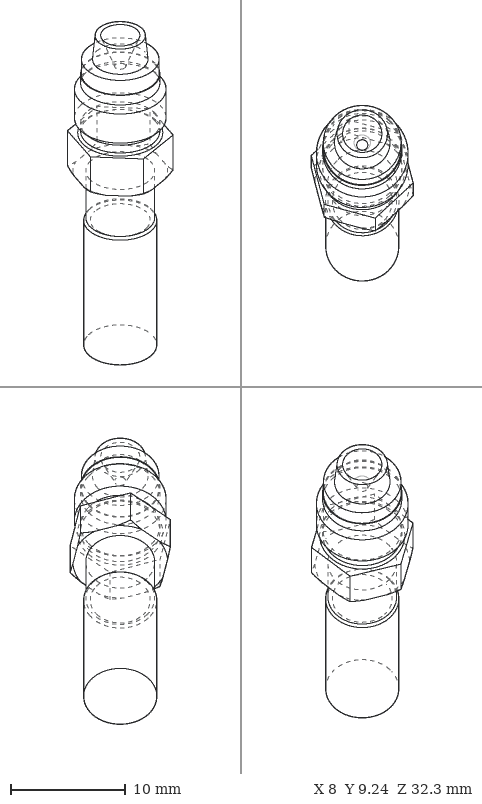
import cadquery as cq
import math

sleeve_top = 13.02
shank_chamfer_top = 13.28
hex_bottom = 18.2
hex_top = 22.13
flare_top = 22.3
barrel_chamfer_bottom = 23.1
barrel_bottom = 23.68
barrel_top = 26.7
barrel_chamfer_top = 27.3
collar_step = 28.3
collar_top = 29.8
total_height = 32.3

sleeve_radius = 3.2
neck_radius = 2.62
shank_radius = 3.0
flare_radius = 3.7
groove_radius = 3.45
barrel_radius = 4.0
collar_radius = 3.4
nose_base_radius = 2.42
nose_tip_radius = 2.2

across_flats = 8.0
across_corners = across_flats / math.cos(math.radians(30))
hex_chamfer_radius = 4.15
hex_chamfer_angle = 30.0

socket_mouth_radius = 1.7
socket_throat_radius = 0.7
socket_depth = 2.6
pin_hole_end_radius = 0.5
pin_hole_depth = 0.65

def turned_body():
    """Revolve the stepped outer profile about Z."""
    profile = [
        (0, 0),
        (sleeve_radius, 0),
        (sleeve_radius, sleeve_top),
        (neck_radius, sleeve_top),
        (shank_radius, shank_chamfer_top),
        (shank_radius, hex_top),
        (flare_radius, hex_top),
        (groove_radius, flare_top),
        (groove_radius, barrel_chamfer_bottom),
        (barrel_radius, barrel_bottom),
        (barrel_radius, barrel_top),
        (groove_radius, barrel_chamfer_top),
        (groove_radius, collar_step),
        (collar_radius, collar_step),
        (collar_radius, collar_top),
        (nose_base_radius, collar_top),
        (nose_tip_radius, total_height),
        (0, total_height),
    ]
    return cq.Workplane("XZ").polyline(profile).close().revolve(360, (0, 0), (0, 1))

def hex_nut():
    """Hexagon whose lower corners are trimmed by a cone just outside the flats."""
    hexagon = (
        cq.Workplane("XY")
        .workplane(offset=hex_bottom)
        .polygon(6, across_corners)
        .extrude(hex_top - hex_bottom)
        .rotate((0, 0, 0), (0, 0, 1), 30)
    )
    outer_radius = across_corners
    rise = (outer_radius - hex_chamfer_radius) * math.tan(math.radians(hex_chamfer_angle))
    envelope = (
        cq.Workplane("XZ")
        .moveTo(0, hex_bottom)
        .lineTo(hex_chamfer_radius, hex_bottom)
        .lineTo(outer_radius, hex_bottom + rise)
        .lineTo(outer_radius, hex_top)
        .lineTo(0, hex_top)
        .close()
        .revolve(360, (0, 0), (0, 1))
    )
    return hexagon.intersect(envelope)

def socket():
    """Tapered cavity that narrows into a blind, tapered pin hole."""
    throat = total_height - socket_depth
    hole_bottom = throat - pin_hole_depth
    profile = [
        (0, hole_bottom),
        (pin_hole_end_radius, hole_bottom),
        (socket_throat_radius, throat),
        (socket_mouth_radius, total_height),
        (0, total_height),
    ]
    return cq.Workplane("XZ").polyline(profile).close().revolve(360, (0, 0), (0, 1))

result = turned_body().union(hex_nut()).cut(socket())